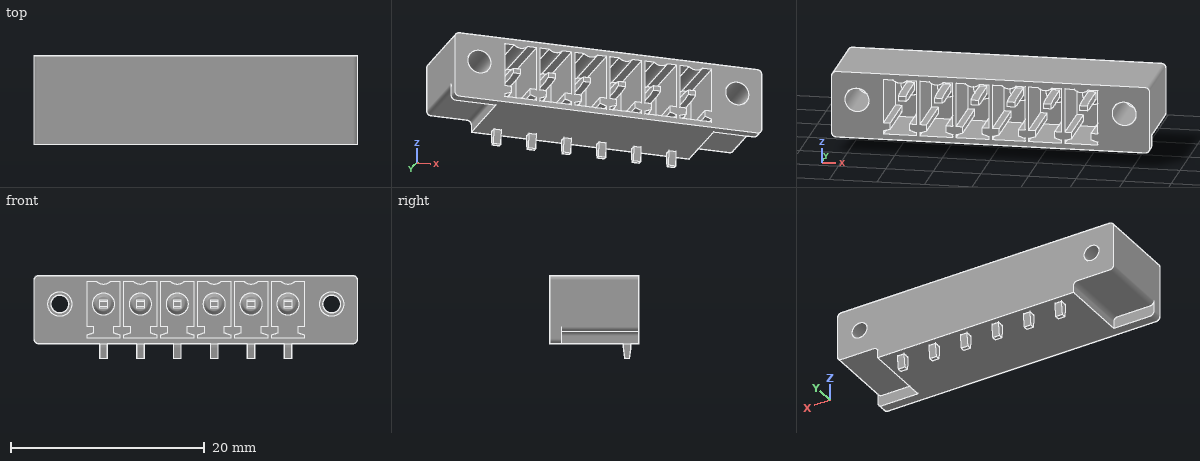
import cadquery as cq


LENGTH = 33.45
DEPTH = 9.2
HEIGHT = 7.05
CORNER_RADIUS = 0.5
AXIS_Z = 4.1

FLANGE_THICKNESS = 1.2
FOOT_FACE_HEIGHT = 0.8
FOOT_SIDE_WALL = 0.6
UNDERCUT_RADIUS = 0.47

POLE_COUNT = 6
PITCH = 3.8
CHAMBER_WIDTH = 3.45
WALL = 0.6
CHAMBER_DEPTH = 6.7
KEY_HALF_WIDTH = 0.75
KEY_DROP = 0.3
RAIL_WIDTH = 0.7
RAIL_TOP = 1.8
RAIL_SIDE_BOTTOM = 1.15
RAIL_ROOT_BOTTOM = 0.9

BOSS_BASE_RADIUS = 1.15
BOSS_LENGTH = 0.57
BOSS_TAPER = 30.0
BOSS_ROUNDING = 0.25

HOLE_SPACING = 28.1
HOLE_DIAMETER = 1.8
COUNTERBORE_DIAMETER = 2.5
COUNTERBORE_DEPTH = CHAMBER_DEPTH

PIN_SIZE = 0.8
TIP_SIZE = 0.5
TAPER_LENGTH = 1.15
TIP_SETBACK = 1.27
LEG_SETBACK = 0.8
LEG_LENGTH = 1.55

foot_half_length = ((POLE_COUNT - 1) * PITCH + CHAMBER_WIDTH) / 2 + FOOT_SIDE_WALL
pole_positions = [(i - (POLE_COUNT - 1) / 2) * PITCH for i in range(POLE_COUNT)]


def front_plane(y=0.0):
    """Sketch plane with local x = X and local y = Z; positive extrusion goes toward -Y."""
    return cq.Workplane(cq.Plane(origin=(0, y, 0), xDir=(1, 0, 0), normal=(0, -1, 0)))


def make_block():
    block = front_plane().rect(LENGTH, HEIGHT).extrude(-DEPTH)
    return block.translate((0, 0, HEIGHT / 2)).edges("|Y").fillet(CORNER_RADIUS)


def make_undercut():
    """Waste at the -X side: its ceiling has a rounded outer edge and a rounded inner corner."""
    side = -LENGTH / 2
    foot_x = -foot_half_length
    ceiling_z = FOOT_FACE_HEIGHT + UNDERCUT_RADIUS
    top_z = ceiling_z + UNDERCUT_RADIUS
    return (
        front_plane(FLANGE_THICKNESS)
        .moveTo(side, 0)
        .lineTo(foot_x, 0)
        .lineTo(foot_x, FOOT_FACE_HEIGHT)
        .radiusArc((foot_x - UNDERCUT_RADIUS, ceiling_z), -UNDERCUT_RADIUS)
        .lineTo(side + UNDERCUT_RADIUS, ceiling_z)
        .radiusArc((side, top_z), UNDERCUT_RADIUS)
        .close()
        .extrude(FLANGE_THICKNESS - DEPTH)
    )


def make_chamber():
    """Chamber void centred on X = 0, with the key and the two side rails left standing."""
    half = CHAMBER_WIDTH / 2
    rail_x = half - RAIL_WIDTH
    roof = HEIGHT - WALL
    void = (
        front_plane()
        .moveTo(-half, WALL)
        .lineTo(half, WALL)
        .lineTo(half, RAIL_ROOT_BOTTOM)
        .lineTo(rail_x, RAIL_SIDE_BOTTOM)
        .lineTo(rail_x, RAIL_TOP)
        .lineTo(half, RAIL_TOP)
        .lineTo(half, roof)
        .lineTo(KEY_HALF_WIDTH, roof)
        .threePointArc((0, roof - KEY_DROP), (-KEY_HALF_WIDTH, roof))
        .lineTo(-half, roof)
        .lineTo(-half, RAIL_TOP)
        .lineTo(-rail_x, RAIL_TOP)
        .lineTo(-rail_x, RAIL_SIDE_BOTTOM)
        .lineTo(-half, RAIL_ROOT_BOTTOM)
        .close()
        .extrude(-CHAMBER_DEPTH)
    )
    boss = (
        front_plane(CHAMBER_DEPTH)
        .center(0, AXIS_Z)
        .circle(BOSS_BASE_RADIUS)
        .extrude(BOSS_LENGTH, taper=BOSS_TAPER)
        .faces("<Y")
        .edges()
        .fillet(BOSS_ROUNDING)
    )
    return void.cut(boss)


def make_mounting_holes():
    """A through hole with a deep counterbore from the mating face, at each end."""
    centres = [(-HOLE_SPACING / 2, AXIS_Z), (HOLE_SPACING / 2, AXIS_Z)]
    through = front_plane().pushPoints(centres).circle(HOLE_DIAMETER / 2).extrude(-DEPTH)
    counterbores = (
        front_plane().pushPoints(centres).circle(COUNTERBORE_DIAMETER / 2).extrude(-COUNTERBORE_DEPTH)
    )
    return through.union(counterbores)


def make_pin(x):
    """L-shaped pin of constant width in X; its profile is drawn in the YZ plane."""
    leg_rear = DEPTH - LEG_SETBACK
    leg_front = leg_rear - PIN_SIZE
    leg_y = leg_rear - PIN_SIZE / 2
    leg_bottom = -LEG_LENGTH
    leg_taper_z = leg_bottom + TAPER_LENGTH
    contact_taper_y = TIP_SETBACK + TAPER_LENGTH
    half = PIN_SIZE / 2
    half_tip = TIP_SIZE / 2
    profile = [
        (TIP_SETBACK, AXIS_Z + half_tip),
        (contact_taper_y, AXIS_Z + half),
        (leg_rear, AXIS_Z + half),
        (leg_rear, leg_taper_z),
        (leg_y + half_tip, leg_bottom),
        (leg_y - half_tip, leg_bottom),
        (leg_front, leg_taper_z),
        (leg_front, AXIS_Z - half),
        (contact_taper_y, AXIS_Z - half),
        (TIP_SETBACK, AXIS_Z - half_tip),
    ]
    return cq.Workplane("YZ", origin=(x, 0, 0)).polyline(profile).close().extrude(half, both=True)


def make_housing(pins):
    undercut = make_undercut()
    body = make_block().cut(undercut).cut(undercut.mirror("YZ")).cut(make_mounting_holes())
    chamber = make_chamber()
    for x in pole_positions:
        body = body.cut(chamber.translate((x, 0, 0)))
    for pin in pins:
        body = body.cut(pin)
    return body


pins = [make_pin(x) for x in pole_positions]
housing = make_housing(pins)

result = cq.Compound.makeCompound([housing.solids().val(), *[pin.val() for pin in pins]])